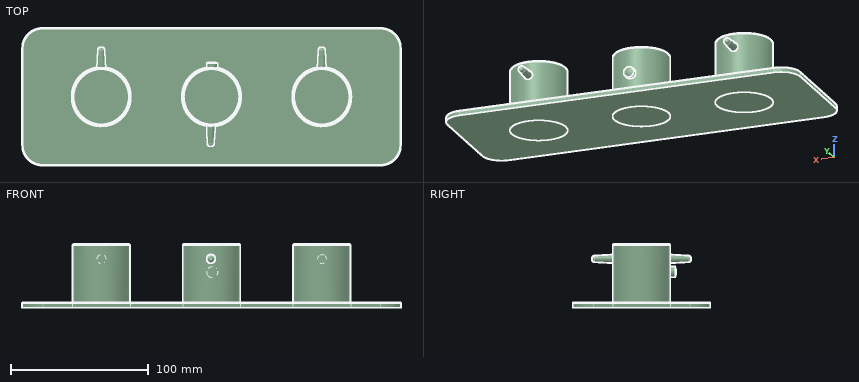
import cadquery as cq
plate_length = 275.0
plate_width = 100.0
plate_thickness = 4.0
plate_corner_radius = 15.0
plate_top_chamfer = 0.6

overall_height = 46.5
knob_radius = 21.0
knob_top_chamfer = 1.0
knob_spacing = 80.0

root_depth = 5.0
root_y = knob_radius - root_depth

lever_height = 35.5
lever_reach = 36.0
lever_root_radius = 3.5
lever_tip_radius = 2.4
lever_tip_fillet = 2.0

button_height = 26.0
button_radius = 4.0
button_rim_reach = 24.4
button_dome_rise = 0.8

half_turn = 180.0
middle_knob_offset_angle = -1.0


def make_plate():
    """Rounded plate with one opening per knob; every edge of the top face is chamfered."""
    return (
        cq.Workplane("XY")
        .box(plate_length, plate_width, plate_thickness, centered=(True, True, False))
        .edges("|Z")
        .fillet(plate_corner_radius)
        .faces(">Z")
        .workplane()
        .pushPoints([(-knob_spacing, 0), (0, 0), (knob_spacing, 0)])
        .circle(knob_radius)
        .cutThruAll()
        .faces(">Z")
        .chamfer(plate_top_chamfer)
    )


def make_lever():
    """Tapered, round-ended lever pointing along +Y, rooted inside the knob."""
    lever = (
        cq.Workplane("XY")
        .moveTo(0, root_y)
        .lineTo(-lever_root_radius, root_y)
        .lineTo(-lever_tip_radius, lever_reach)
        .lineTo(0, lever_reach)
        .close()
        .revolve(360, (0, 0), (0, 1))
        .faces(">Y")
        .edges()
        .fillet(lever_tip_fillet)
    )
    return lever.translate((0, 0, lever_height))


def make_button():
    """Round button pointing along +Y with a shallow domed face, rooted inside the knob."""
    dome_radius = (button_radius**2 + button_dome_rise**2) / (2 * button_dome_rise)
    button = (
        cq.Workplane("XY")
        .moveTo(0, root_y)
        .lineTo(-button_radius, root_y)
        .lineTo(-button_radius, button_rim_reach)
        .radiusArc((0, button_rim_reach + button_dome_rise), dome_radius)
        .close()
        .revolve(360, (0, 0), (0, 1))
    )
    return button.translate((0, 0, button_height))


def make_knob_with_lever():
    """Knob standing through the plate, with its lever pointing along +Y."""
    return (
        cq.Workplane("XY")
        .circle(knob_radius)
        .extrude(overall_height)
        .faces(">Z")
        .chamfer(knob_top_chamfer)
        .union(make_lever())
    )


def make_outer_knob(x):
    """Knob at one end of the plate, its lever pointing to the back."""
    return make_knob_with_lever().translate((x, 0, 0))


def make_middle_knob():
    """Middle knob, its lever pointing to the front and its button to the back."""
    knob = make_knob_with_lever().rotate((0, 0, 0), (0, 0, 1), half_turn)
    return knob.union(make_button()).rotate((0, 0, 0), (0, 0, 1), middle_knob_offset_angle)


plate = make_plate()
middle_knob = make_middle_knob()
outer_knobs = [make_outer_knob(side * knob_spacing) for side in (-1, 1)]

result = cq.Compound.makeCompound(
    [plate.val(), middle_knob.val(), *[knob.val() for knob in outer_knobs]]
)